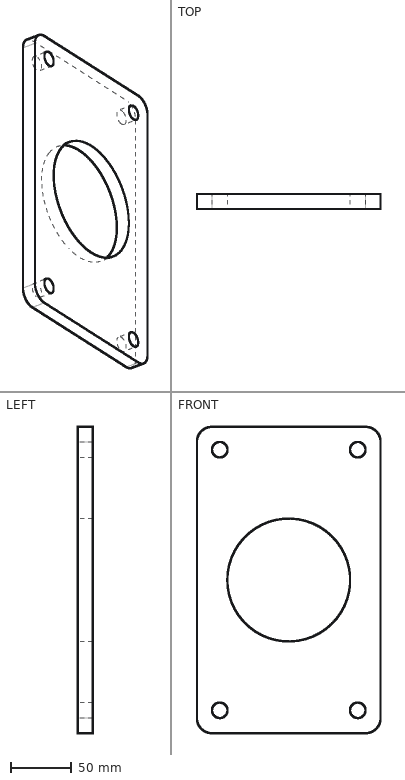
import cadquery as cq

plate_width = 152.4
plate_height = 254.0
plate_thickness = 12.7
corner_radius = 12.7

bore_diameter = 101.6
bolt_hole_diameter = 12.7
bolt_edge_distance = 19.05
bolt_spacing_x = plate_width - 2 * bolt_edge_distance
bolt_spacing_z = plate_height - 2 * bolt_edge_distance


def make_plate():
    """Upright plate centred on the origin, with its four corners rounded."""
    return (
        cq.Workplane("XY")
        .box(plate_width, plate_thickness, plate_height)
        .edges("|Y")
        .fillet(corner_radius)
    )


def cut_bore(body):
    """Central bore through the thickness."""
    return body.faces("<Y").workplane(origin=(0, 0, 0)).hole(bore_diameter)


def cut_bolt_holes(body):
    """One through hole near each corner."""
    return (
        body.faces("<Y")
        .workplane(origin=(0, 0, 0))
        .rarray(bolt_spacing_x, bolt_spacing_z, 2, 2)
        .hole(bolt_hole_diameter)
    )


result = cut_bolt_holes(cut_bore(make_plate()))